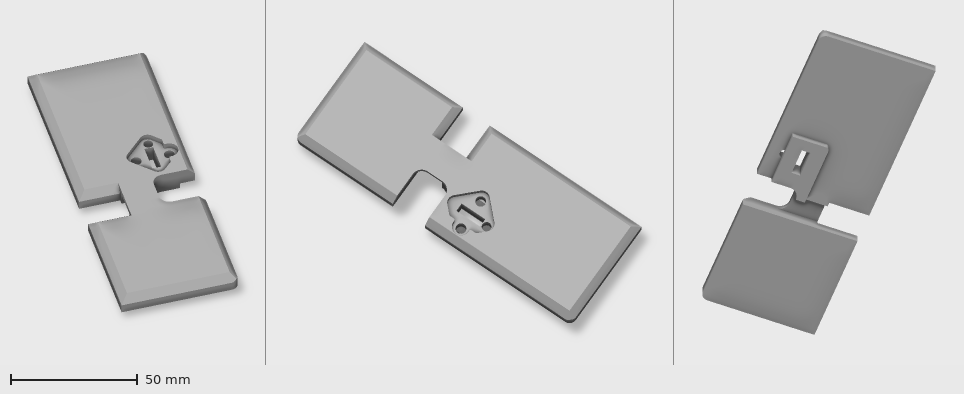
import cadquery as cq

length = 133.2
width = 48.3
total_height = 9.5
pad_height = 2.5
plate_height = total_height - pad_height
chamfer = 3.0
back_corner_radius = 3.0

notch_right = 85.9
back_notch_left = 70.5
front_notch_left = 73.0
bridge_front = 16.9
bridge_back = 30.2
bridge_height = 2.0
bridge_left = 74.9
back_notch_radius = 4.3

pad_left = 47.5
pad_front = 26.5
pad_back = 42.2
pad_corner = 1.3

pocket_x = 58.0
pocket_y = 34.6
pocket_depth = 2.5
pocket_reach = 12.0
pocket_corner_radius = 3.2
pocket_shoulder = 5.6
lobe_radius = 3.6
lobe_fillet = 0.7
pin_hole_offset = 6.8
pin_hole_diameter = 4.3
side_hole_offset = 7.9
side_hole_rise = 0.4
side_hole_diameter = 3.9
slot_length = 11.3
slot_width = 3.6


def box(x_min, x_max, y_min, y_max, z_min, z_max):
    """Box given by its limits along each axis."""
    size = (x_max - x_min, y_max - y_min, z_max - z_min)
    return cq.Workplane("XY").box(*size, centered=False).translate((x_min, y_min, z_min))


def make_plate():
    """Slab with a chamfered top rim, then rounded upright corners at the back."""
    plate = box(0, length, 0, width, 0, plate_height).faces(">Z").chamfer(chamfer)
    rounded = box(0, length, 0, width, 0, plate_height)
    rounded = rounded.edges("|Z and >Y").fillet(back_corner_radius)
    return plate.intersect(rounded)


def make_pad():
    """Low pad under the left half, with its front left corner rounded."""
    pad = box(pad_left, bridge_left, pad_front, pad_back, -pad_height, 0)
    return pad.edges("|Z and <X and <Y").fillet(pad_corner)


def make_back_notch():
    """Notch through the full height, with rounded inner corners."""
    notch = box(back_notch_left, notch_right, bridge_back, width, -pad_height, plate_height)
    return notch.edges("|Z and <Y").fillet(back_notch_radius)


def make_front_notch():
    """Straight notch that flares out at the top to continue the rim chamfer."""
    rim = plate_height - chamfer
    profile = [
        (front_notch_left, 0),
        (notch_right, 0),
        (notch_right, rim),
        (notch_right + chamfer, plate_height),
        (front_notch_left - chamfer, plate_height),
        (front_notch_left, rim),
    ]
    return cq.Workplane("XZ").polyline(profile).close().extrude(-bridge_front)


def make_bridge_relief():
    """Space under the thin bridge, reaching back past the rounded corners of the back notch."""
    underside = plate_height - bridge_height
    relief_back = bridge_back + back_notch_radius
    return box(bridge_left, notch_right, bridge_front, relief_back, -pad_height, underside)


def make_pocket():
    """Rounded diamond with a flat shoulder and a round lobe at the back, sunk into the top."""
    floor = plate_height - pocket_depth
    center = cq.Workplane("XY", origin=(pocket_x, pocket_y, floor))
    corners = [(pocket_reach, 0), (0, pocket_reach), (-pocket_reach, 0), (0, -pocket_reach)]
    diamond = center.polyline(corners).close().extrude(pocket_depth)
    diamond = diamond.edges("|Z").fillet(pocket_corner_radius)
    shoulder_y = pocket_y + pocket_shoulder
    diamond = diamond.cut(box(0, length, shoulder_y, width, 0, plate_height))

    lobe = center.center(0, pin_hole_offset).circle(lobe_radius).extrude(pocket_depth)
    neck = box(
        pocket_x - lobe_radius, pocket_x + lobe_radius,
        pocket_y, pocket_y + pin_hole_offset, floor, plate_height,
    )
    pocket = diamond.union(lobe).union(neck)
    inner_corners = cq.selectors.BoxSelector(
        (pocket_x - lobe_radius - lobe_fillet, shoulder_y - lobe_fillet, floor),
        (pocket_x + lobe_radius + lobe_fillet, shoulder_y + lobe_fillet, plate_height),
    )
    return pocket.edges("|Z").edges(inner_corners).fillet(lobe_fillet)


def make_hole(x, y, diameter):
    """Upright hole through the plate that stops at the pad."""
    return cq.Workplane("XY").center(x, y).circle(diameter / 2).extrude(plate_height)


result = make_plate().union(make_pad())
result = result.cut(make_back_notch())
result = result.cut(make_front_notch())
result = result.cut(make_bridge_relief())
result = result.cut(make_pocket())

for offset in (-pin_hole_offset, pin_hole_offset):
    result = result.cut(make_hole(pocket_x, pocket_y + offset, pin_hole_diameter))
side_hole = make_hole(pocket_x - side_hole_offset, pocket_y + side_hole_rise, side_hole_diameter)
result = result.cut(side_hole)

result = result.cut(
    box(
        pocket_x - slot_length / 2, pocket_x + slot_length / 2,
        pocket_y - slot_width / 2, pocket_y + slot_width / 2,
        -pad_height, plate_height,
    )
)